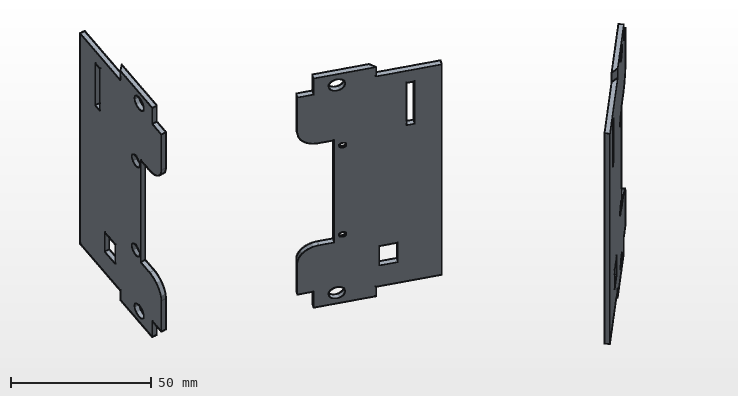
import cadquery as cq

width = 53.0
thickness = 2.0
height = 126.0
half_height = height / 2

tab_left = 24.1
tab_right = 47.1
left_step = 5.2
right_step = 8.8
notch_left = 39.6
notch_center_z = -1.1
notch_height = 56.1
notch_corner_radius = 7.8
bevel_width = 2.3
selection_margin = 1.3

tab_hole_diameter = 6.0
tab_hole_x = 38.5
tab_hole_edge_distance = 5.9
screw_hole_diameter = 2.6
countersink_diameter = 5.3
countersink_angle = 90
screw_x = 36.4
screw_spacing = 49.0

slot_left = 10.0
slot_width = 3.0
slot_height = 23.2
slot_center_z = 39.6
window_left = 16.1
window_width = 6.8
window_height = 10.6
window_center_z = -41.1


def front_plane():
    """Sketch plane on the front face, with its normal toward -Y."""
    return cq.Workplane("XZ")


def make_plate():
    left_z = half_height - left_step
    right_z = half_height - right_step
    notch_top = notch_center_z + notch_height / 2
    notch_bottom = notch_center_z - notch_height / 2
    outline = [
        (0, -left_z),
        (tab_left, -left_z),
        (tab_left, -half_height),
        (tab_right, -half_height),
        (tab_right, -right_z),
        (width, -right_z),
        (width, notch_bottom),
        (notch_left, notch_bottom),
        (notch_left, notch_top),
        (width, notch_top),
        (width, right_z),
        (tab_right, right_z),
        (tab_right, half_height),
        (tab_left, half_height),
        (tab_left, left_z),
        (0, left_z),
    ]
    plate = front_plane().polyline(outline).close().extrude(-thickness)
    notch_corners = cq.selectors.BoxSelector(
        (width - selection_margin, -selection_margin, notch_bottom - selection_margin),
        (width + selection_margin, thickness + selection_margin, notch_top + selection_margin),
    )
    return plate.edges("|Y").edges(notch_corners).fillet(notch_corner_radius)


def tab_bevel(side):
    """Wedge removed from the left edge of the upper (1) or lower (-1) tab."""
    profile = [(tab_left, 0), (tab_left + bevel_width, 0), (tab_left, thickness)]
    inner_z = side * (half_height - left_step)
    return (
        cq.Workplane("XY", origin=(0, 0, inner_z))
        .polyline(profile)
        .close()
        .extrude(side * left_step)
    )


def opening(left, center_z, opening_width, opening_height):
    """Rectangular cutter through the full thickness."""
    return (
        front_plane()
        .center(left + opening_width / 2, center_z)
        .rect(opening_width, opening_height)
        .extrude(-thickness)
    )


result = make_plate()
for side in (1, -1):
    result = result.cut(tab_bevel(side))
result = result.cut(opening(slot_left, slot_center_z, slot_width, slot_height))
result = result.cut(opening(window_left, window_center_z, window_width, window_height))

tab_hole_z = half_height - tab_hole_edge_distance
tab_holes = (
    front_plane()
    .pushPoints([(tab_hole_x, tab_hole_z), (tab_hole_x, -tab_hole_z)])
    .circle(tab_hole_diameter / 2)
    .extrude(-thickness)
)
result = result.cut(tab_holes)

screw_points = [
    (screw_x, notch_center_z + screw_spacing / 2),
    (screw_x, notch_center_z - screw_spacing / 2),
]
result = (
    result.copyWorkplane(front_plane())
    .pushPoints(screw_points)
    .cskHole(screw_hole_diameter, countersink_diameter, countersink_angle)
)